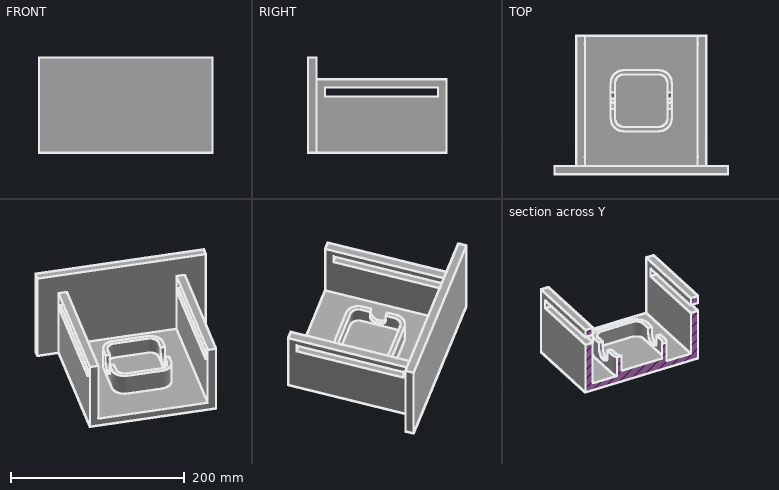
import cadquery as cq

board = 10.0
front_width = 200.0
front_height = 110.0
body_width = 150.0
body_depth = 150.0
side_height = 85.0

slot_height = 10.0
slot_margin = 10.0

cup_inner = 60.5
cup_wall = 5.0
cup_height = 25.2
cup_floor = 5.2
cup_inner_radius = 10.0
cup_outer = cup_inner + 2 * cup_wall
cup_outer_radius = cup_inner_radius + cup_wall

notch_width = 19.2
notch_radius = notch_width / 2
notch_depth = 17.5
pin_diameter = 5.0
pin_height = 8.5

body_center_y = board + body_depth / 2


def block(width, depth, height, x, y, z):
    """Box with its lower left front corner at (x, y, z)."""
    return cq.Workplane("XY").box(width, depth, height, centered=False).translate((x, y, z))


def rounded_square(side, radius):
    """Rounded-square column rising from the drawer floor to the cup rim."""
    column = cq.Workplane("XY").box(side, side, cup_height, centered=(True, True, False))
    return column.edges("|Z").fillet(radius).translate((0, body_center_y, board))


def make_body():
    """Front panel, floor and two slotted side walls."""
    body = block(front_width, board, front_height, -front_width / 2, 0, 0)
    body = body.union(block(body_width, body_depth, board, -body_width / 2, board, 0))
    for x in (-body_width / 2, body_width / 2 - board):
        body = body.union(block(board, body_depth, side_height, x, board, 0))
    slot_bottom = side_height - slot_margin - slot_height
    slot_length = body_depth - 2 * slot_margin
    return body.cut(
        block(body_width, slot_length, slot_height, -body_width / 2, board + slot_margin, slot_bottom)
    )


def make_cup():
    """Cup with a flat floor and a rounded wall, notched on its left and right sides."""
    cavity = rounded_square(cup_inner, cup_inner_radius).translate((0, 0, cup_floor))
    cup = rounded_square(cup_outer, cup_outer_radius).cut(cavity)
    rim = board + cup_height
    arc_center = rim - notch_depth + notch_radius
    notch = (
        cq.Workplane("YZ", origin=(-cup_outer / 2, body_center_y, 0))
        .moveTo(-notch_radius, rim)
        .lineTo(-notch_radius, arc_center)
        .threePointArc((0, arc_center - notch_radius), (notch_radius, arc_center))
        .lineTo(notch_radius, rim)
        .close()
        .extrude(cup_outer)
    )
    return cup.cut(notch)


def make_pins():
    """One pin centered in each notched wall."""
    pin_x = (cup_inner + cup_wall) / 2
    return (
        cq.Workplane("XY", origin=(0, body_center_y, board))
        .pushPoints([(-pin_x, 0), (pin_x, 0)])
        .circle(pin_diameter / 2)
        .extrude(pin_height)
    )


result = make_body().union(make_cup()).union(make_pins())